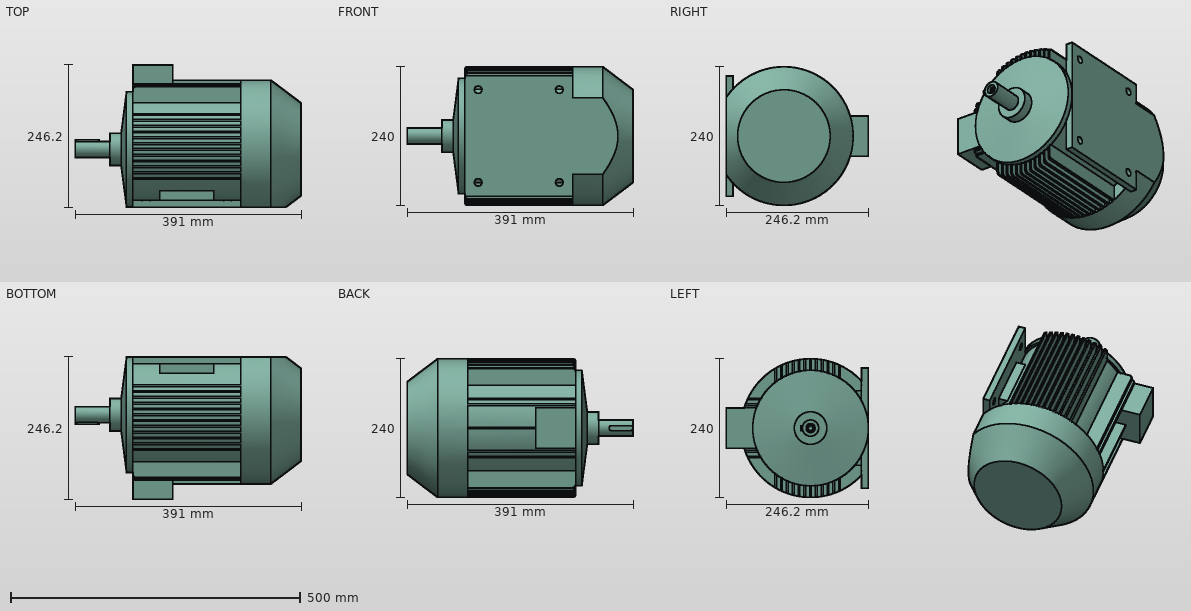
import cadquery as cq
import math

LENGTH = 391.0
HUB_FRONT = 60.0
SHIELD_FRONT = 79.5
SHIELD_RIM = 88.8
FRAME_FRONT = 99.7
COWL_FRONT = 286.2
COWL_TAPER = 338.2

SHAFT_RADIUS = 14.0
HUB_RADIUS = 28.0
CORE_RADIUS = 96.0
SHIELD_RADIUS = 100.0
BODY_RADIUS = 120.0
COWL_END_RADIUS = 80.0

FIN_THICKNESS = 3.0
FIN_CORNER_RADIUS = 5.0
OUTERMOST_FIN = 6
OUTERMOST_FIN_OFFSET = 60.2
FIN_PITCH = OUTERMOST_FIN_OFFSET / OUTERMOST_FIN
UPRIGHT_FINS = range(-5, OUTERMOST_FIN + 1)
BACK_FINS = (-5, -4, 0, 4, 5)

PLATE_THICKNESS = 12.0
PLATE_HEIGHT = 208.5
PLATE_OUTER_Y = -SHIELD_RADIUS
PLATE_INNER_Y = PLATE_OUTER_Y + PLATE_THICKNESS
PLATE_HOLE_DIAMETER = 13.0
PLATE_HOLE_INSET = 23.0
PLATE_HOLE_SPACING_Z = 160.5

PAD_LENGTH = 93.5
PAD_HEIGHT = 128.2

BOX_LENGTH = 69.2
BOX_HEIGHT = 70.0
BOX_OUTER_Y = 146.2

KEY_LENGTH = 42.0
KEY_WIDTH = 8.5
KEY_TOP = 17.0

COUNTERSINK_RADIUS = 8.0
RELIEF_RADIUS = 5.5
RELIEF_DEPTH = 7.5
BORE_RADIUS = 4.3
BORE_DEPTH = 30.0
COUNTERSINK_HALF_ANGLE = 30
DRILL_TIP_HALF_ANGLE = 59

FRAME_LENGTH = COWL_FRONT - FRAME_FRONT
FRAME_MIDDLE = FRAME_FRONT + FRAME_LENGTH / 2


def box_between(x_range, y_range, z_range):
    """Axis-aligned block given by its limits along X, Y and Z."""
    sizes = [high - low for low, high in (x_range, y_range, z_range)]
    corner = (x_range[0], y_range[0], z_range[0])
    return cq.Workplane("XY").box(*sizes, centered=False).translate(corner)


def centred(middle, width):
    return (middle - width / 2, middle + width / 2)


def revolve_about_axis(profile):
    return profile.close().revolve(360, (0, 0, 0), (1, 0, 0))


def make_turned_body():
    """Shaft, hub, conical end shield, core and fan cowl as one revolved outline."""
    outline = cq.Workplane("XY").polyline([
        (0, 0),
        (0, SHAFT_RADIUS),
        (HUB_FRONT, SHAFT_RADIUS),
        (HUB_FRONT, HUB_RADIUS),
        (SHIELD_FRONT, HUB_RADIUS),
        (SHIELD_RIM, SHIELD_RADIUS),
        (FRAME_FRONT, SHIELD_RADIUS),
        (FRAME_FRONT, CORE_RADIUS),
        (COWL_FRONT, CORE_RADIUS),
        (COWL_FRONT, BODY_RADIUS),
        (COWL_TAPER, BODY_RADIUS),
        (LENGTH, COWL_END_RADIUS),
        (LENGTH, 0),
    ])
    body = revolve_about_axis(outline)
    beyond_plate = box_between(
        (COWL_FRONT, LENGTH),
        (-BODY_RADIUS, PLATE_OUTER_Y),
        (-BODY_RADIUS, BODY_RADIUS),
    )
    return body.cut(beyond_plate)


def make_fins():
    """Parallel fins, trimmed to the round body with a rounded front corner."""
    frame_span = (FRAME_FRONT, COWL_FRONT)
    slabs = cq.Workplane("XY")
    for place in UPRIGHT_FINS:
        fin_y = centred(place * FIN_PITCH, FIN_THICKNESS)
        slabs = slabs.add(box_between(frame_span, fin_y, (-BODY_RADIUS, BODY_RADIUS)))
    for place in BACK_FINS:
        fin_z = centred(place * FIN_PITCH, FIN_THICKNESS)
        slabs = slabs.add(box_between(frame_span, (0, BODY_RADIUS), fin_z))
    envelope = (
        cq.Workplane("YZ", origin=(FRAME_FRONT, 0, 0))
        .circle(BODY_RADIUS)
        .extrude(FRAME_LENGTH)
        .faces("<X").edges().fillet(FIN_CORNER_RADIUS)
    )
    return slabs.combine().intersect(envelope)


def make_mounting_plate():
    """Drilled plate on the -Y side with the pad that carries it."""
    plate = box_between(
        (FRAME_FRONT, COWL_FRONT),
        (PLATE_OUTER_Y, PLATE_INNER_Y),
        centred(0, PLATE_HEIGHT),
    )
    holes = (
        cq.Workplane("XZ", origin=(FRAME_MIDDLE, PLATE_INNER_Y, 0))
        .rarray(FRAME_LENGTH - 2 * PLATE_HOLE_INSET, PLATE_HOLE_SPACING_Z, 2, 2)
        .circle(PLATE_HOLE_DIAMETER / 2)
        .extrude(PLATE_THICKNESS)
    )
    pad = box_between(
        centred(FRAME_MIDDLE, PAD_LENGTH),
        (PLATE_INNER_Y, 0),
        centred(0, PAD_HEIGHT),
    )
    return plate.cut(holes).union(pad)


def make_terminal_box():
    return box_between(
        (FRAME_FRONT, FRAME_FRONT + BOX_LENGTH),
        (0, BOX_OUTER_Y),
        centred(0, BOX_HEIGHT),
    )


def make_key():
    """Round-ended key on the +Y side of the shaft, starting at the shaft end."""
    return (
        cq.Workplane("XZ", origin=(KEY_LENGTH / 2, KEY_TOP, 0))
        .slot2D(KEY_LENGTH, KEY_WIDTH)
        .extrude(KEY_TOP)
    )


def make_centre_hole():
    """Countersunk, stepped blind hole with a drill tip in the end of the shaft."""
    countersink_slope = math.tan(math.radians(COUNTERSINK_HALF_ANGLE))
    countersink_depth = (COUNTERSINK_RADIUS - RELIEF_RADIUS) / countersink_slope
    tip_depth = BORE_RADIUS / math.tan(math.radians(DRILL_TIP_HALF_ANGLE))
    outline = cq.Workplane("XY").polyline([
        (0, 0),
        (0, COUNTERSINK_RADIUS),
        (countersink_depth, RELIEF_RADIUS),
        (RELIEF_DEPTH, RELIEF_RADIUS),
        (RELIEF_DEPTH, BORE_RADIUS),
        (BORE_DEPTH, BORE_RADIUS),
        (BORE_DEPTH + tip_depth, 0),
    ])
    return revolve_about_axis(outline)


result = (
    make_turned_body()
    .union(make_fins())
    .union(make_mounting_plate())
    .union(make_terminal_box())
    .union(make_key())
    .cut(make_centre_hole())
)